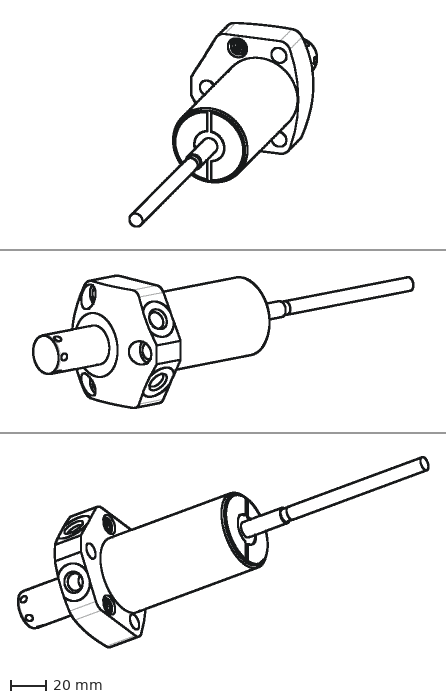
import cadquery as cq
import math

cable_end_y = -136.2
neck_end_y = -44.0
sleeve_end_y = -39.8
housing_end_y = -14.0
flange_front_y = 71.5
flange_back_y = 98.4
shaft_end_y = 136.2

cable_diameter = 8.0
cable_neck_diameter = 7.5
sleeve_radius = 4.5
housing_radius = 22.3
housing_chamfer = 1.0
cap_radius = 20.5
cap_height = 0.8
shaft_radius = 11.2
shaft_chamfer_length = 1.0
shaft_chamfer_width = 0.3

cap_recess_radius = 9.0
cap_slot_width = 2.5
cap_recess_depth = 0.8

flange_height = 68.0
flange_left = -41.5
flange_right = 23.0
left_flat_height = 11.0
left_slope_angle = 60.0
right_side_radius = 90.0
flange_fillet = 6.3

cone_top_radius = 18.3
cone_angle = 21.0

mount_hole_diameter = 9.0
mount_bore_diameter = 13.4
mount_bore_depth = 11.0
mount_points = [(-31.5, 0), (11.2, 25.3), (11.2, -25.3)]

front_port_x = -13.5
front_port_z = 26.7
front_port_steps = [(8.7, 1.5), (6.0, 3.3), (3.0, 6.5)]
front_port_chamfer_width = 1.4
front_port_chamfer_depth = 1.0

side_port_z = 18.3
side_port_from_front = 10.4
side_port_diameter = 9.8
side_port_depth = 14.2
side_port_chamfer_width = 1.0
side_port_chamfer_depth = 2.0
spotface_diameter = 21.3
spotface_depth = 0.14

dimple_count = 6
dimple_diameter = 4.4
dimple_depth = 2.2
dimple_from_end = 4.0


def rod(radius, start_y, end_y):
    """Cylinder on the Y axis between two Y positions."""
    return cq.Workplane(cq.Solid.makeCylinder(
        radius, end_y - start_y, cq.Vector(0, start_y, 0), cq.Vector(0, 1, 0)))


def drill(diameter, depth, mouth, direction):
    """Cutter for a blind hole starting at mouth and running along direction."""
    return cq.Workplane(cq.Solid.makeCylinder(diameter / 2, depth, mouth, direction))


def countersink(mouth_diameter, end_diameter, depth, mouth, direction):
    """Conical cutter narrowing from mouth along direction."""
    return cq.Workplane(cq.Solid.makeCone(mouth_diameter / 2, end_diameter / 2, depth, mouth, direction))


def make_flange():
    half = flange_height / 2
    left_half = left_flat_height / 2
    top_left = flange_left + (half - left_half) / math.tan(math.radians(left_slope_angle))
    right_centre_x = flange_right - right_side_radius
    top_right = right_centre_x + math.sqrt(right_side_radius ** 2 - half ** 2)
    length = flange_back_y - flange_front_y
    plate = (
        cq.Workplane("XZ", origin=(0, flange_front_y, 0))
        .moveTo(flange_left, -left_half)
        .lineTo(flange_left, left_half)
        .lineTo(top_left, half)
        .lineTo(top_right, half)
        .threePointArc((flange_right, 0), (top_right, -half))
        .lineTo(top_left, -half)
        .close()
        .extrude(-length)
    )
    plate = plate.faces(">Z or <Z").edges("|Y").fillet(flange_fillet)
    base_radius = cone_top_radius + length / math.tan(math.radians(cone_angle))
    cone = cq.Workplane(cq.Solid.makeCone(
        base_radius, cone_top_radius, length, cq.Vector(0, flange_front_y, 0), cq.Vector(0, 1, 0)))
    return plate.intersect(cone)


def cut_mount_holes(body):
    forward = cq.Vector(0, -1, 0)
    for x, z in mount_points:
        mouth = cq.Vector(x, flange_back_y, z)
        body = body.cut(drill(mount_hole_diameter, flange_back_y - flange_front_y, mouth, forward))
        body = body.cut(drill(mount_bore_diameter, mount_bore_depth, mouth, forward))
    return body


def cut_front_ports(body):
    inward = cq.Vector(0, 1, 0)
    bore_diameter = front_port_steps[0][0]
    mouth_diameter = bore_diameter + 2 * front_port_chamfer_width
    for side in (1, -1):
        mouth = cq.Vector(front_port_x, flange_front_y, side * front_port_z)
        body = body.cut(countersink(mouth_diameter, bore_diameter, front_port_chamfer_depth, mouth, inward))
        for diameter, depth in front_port_steps:
            body = body.cut(drill(diameter, depth, mouth, inward))
    return body


def cut_side_ports(body):
    slope = math.radians(left_slope_angle)
    x = flange_left + (side_port_z - left_flat_height / 2) / math.tan(slope)
    y = flange_front_y + side_port_from_front
    mouth_diameter = side_port_diameter + 2 * side_port_chamfer_width
    for side in (1, -1):
        inward = cq.Vector(math.sin(slope), 0, -side * math.cos(slope))
        face_point = cq.Vector(x, y, side * side_port_z)
        body = body.cut(drill(spotface_diameter, spotface_depth, face_point, inward))
        mouth = face_point + inward * spotface_depth
        body = body.cut(countersink(
            mouth_diameter, side_port_diameter, side_port_chamfer_depth, mouth, inward))
        body = body.cut(drill(side_port_diameter, side_port_depth, mouth, inward))
    return body


def make_housing():
    cap_base_y = housing_end_y + cap_height
    housing = rod(housing_radius, cap_base_y, flange_front_y).faces("<Y").chamfer(housing_chamfer)
    housing = housing.union(rod(cap_radius, housing_end_y, flange_front_y))
    recess_floor_y = housing_end_y + cap_recess_depth
    slot = cq.Workplane("XY").box(cap_slot_width, cap_recess_depth, 2 * cap_radius)
    slot = slot.translate((0, housing_end_y + cap_recess_depth / 2, 0))
    return housing.cut(slot).cut(rod(cap_recess_radius, housing_end_y, recess_floor_y))


def make_shaft():
    straight_end_y = shaft_end_y - shaft_chamfer_length
    tip_radius = shaft_radius - shaft_chamfer_width
    tip = cq.Workplane(cq.Solid.makeCone(
        shaft_radius, tip_radius, shaft_chamfer_length, cq.Vector(0, straight_end_y, 0), cq.Vector(0, 1, 0)))
    shaft = rod(shaft_radius, flange_back_y, straight_end_y).union(tip)
    for index in range(dimple_count):
        angle = 2 * math.pi * index / dimple_count
        outward = cq.Vector(math.cos(angle), 0, math.sin(angle))
        mouth = outward * shaft_radius + cq.Vector(0, shaft_end_y - dimple_from_end, 0)
        shaft = shaft.cut(countersink(dimple_diameter, 0, dimple_depth, mouth, outward * -1))
    return shaft


def make_cable():
    sleeve = rod(sleeve_radius, sleeve_end_y, flange_front_y)
    neck = rod(cable_neck_diameter / 2, neck_end_y, sleeve_end_y)
    cable = rod(cable_diameter / 2, cable_end_y, neck_end_y)
    return sleeve.union(neck).union(cable)


flange = cut_side_ports(cut_front_ports(cut_mount_holes(make_flange())))
result = flange.union(make_housing()).union(make_shaft()).union(make_cable())